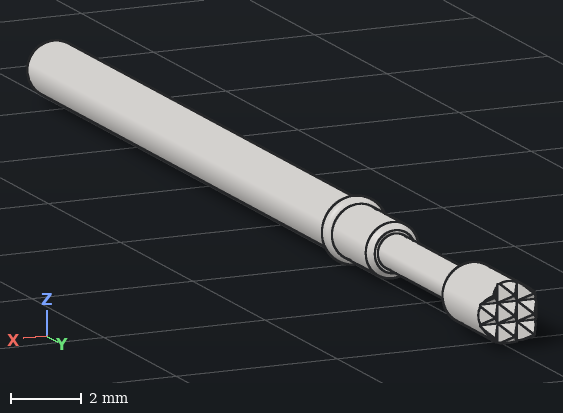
import cadquery as cq
import math

total_length = 32.3
head_diameter = 1.8
head_length = 3.0
plunger_diameter = 1.05
plunger_length = 5.3
barrel_diameter = 1.65
barrel_chamfer = 0.2
barrel_end_fillet = 0.45
ring_diameter = 2.0
ring_width = 0.52
ring_setback = 2.78
tip_pitch = head_diameter / 3
tip_angle = 60.0

tip_y = total_length / 2
barrel_end_y = -total_length / 2
head_base_y = tip_y - head_length
barrel_mouth_y = head_base_y - plunger_length
ring_y = barrel_mouth_y - ring_setback


def cylinder(diameter, start_y, end_y):
    """Solid cylinder on the Y axis from start_y up to end_y."""
    base = cq.Workplane("XZ", origin=(0, start_y, 0))
    return base.circle(diameter / 2).extrude(start_y - end_y)


def barrel():
    """Tube body, chamfered at the mouth and rounded at the closed end."""
    body = cylinder(barrel_diameter, barrel_end_y, barrel_mouth_y)
    body = body.faces(">Y").chamfer(barrel_chamfer)
    return body.faces("<Y").edges().fillet(barrel_end_fillet)


def press_ring():
    """Bead around the barrel with a semicircular crest."""
    crest_radius = ring_width / 2
    crest_centre = ring_diameter / 2 - crest_radius
    section = (
        cq.Workplane("XY")
        .moveTo(0, ring_y - crest_radius)
        .lineTo(crest_centre, ring_y - crest_radius)
        .threePointArc((ring_diameter / 2, ring_y), (crest_centre, ring_y + crest_radius))
        .lineTo(0, ring_y + crest_radius)
        .close()
    )
    return section.revolve(360, (0, 0, 0), (0, 1, 0))


def serration_ridges():
    """Block of three parallel sharp ridges running along Z, with V grooves between them."""
    ridge_height = tip_pitch / 2 / math.tan(math.radians(tip_angle / 2))
    valley_y = tip_y - ridge_height
    head_radius = head_diameter / 2
    outline = [(-head_radius, head_base_y)]
    for ridge_x in (-tip_pitch, 0, tip_pitch):
        outline.append((ridge_x - tip_pitch / 2, valley_y))
        outline.append((ridge_x, tip_y))
    outline.append((head_radius, valley_y))
    outline.append((head_radius, head_base_y))
    return cq.Workplane("XY").polyline(outline).close().extrude(head_diameter, both=True)


def serrated_head():
    """Head whose front is a three by three grid of pyramid tips, made by two crossed sets of ridges."""
    ridges = serration_ridges()
    crossed_ridges = ridges.rotate((0, 0, 0), (0, 1, 0), 90)
    head = cylinder(head_diameter, head_base_y, tip_y)
    return head.intersect(ridges).intersect(crossed_ridges)


plunger = cylinder(plunger_diameter, barrel_mouth_y, head_base_y)
result = barrel().union(press_ring()).union(plunger).union(serrated_head())